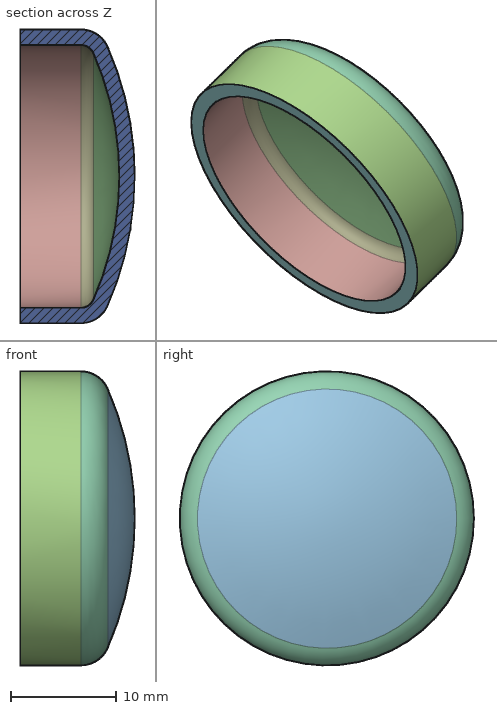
import cadquery as cq
import math

outer_diameter = 28.0
inner_diameter = 25.0
cap_length = 10.92
skirt_length = 5.77
shoulder_radius = 2.8

outer_radius = outer_diameter / 2
wall = (outer_diameter - inner_diameter) / 2

shoulder_center_r = outer_radius - shoulder_radius
dome_rise = cap_length - skirt_length
dome_radius = (shoulder_center_r**2 + dome_rise**2 - shoulder_radius**2) / (2 * (dome_rise - shoulder_radius))
dome_center_x = cap_length - dome_radius
tangent_angle = math.atan2(shoulder_center_r, skirt_length - dome_center_x)


def polar(center_x, center_r, radius, angle):
    """Point (x, r) on an arc, with the angle measured from the +X axis."""
    return (center_x + radius * math.cos(angle), center_r + radius * math.sin(angle))


def domed_solid(inset):
    """Solid bounded by the outer surface moved inwards by inset."""
    corner_radius = shoulder_radius - inset
    sphere_radius = dome_radius - inset
    skirt_radius = outer_radius - inset
    shoulder_middle = (tangent_angle + math.pi / 2) / 2
    profile = (
        cq.Workplane("XY")
        .lineTo(0, skirt_radius)
        .lineTo(skirt_length, skirt_radius)
        .threePointArc(
            polar(skirt_length, shoulder_center_r, corner_radius, shoulder_middle),
            polar(skirt_length, shoulder_center_r, corner_radius, tangent_angle),
        )
        .threePointArc(
            polar(dome_center_x, 0, sphere_radius, tangent_angle / 2),
            (cap_length - inset, 0),
        )
        .close()
    )
    return profile.revolve(360, (0, 0, 0), (1, 0, 0))


result = domed_solid(0).cut(domed_solid(wall))